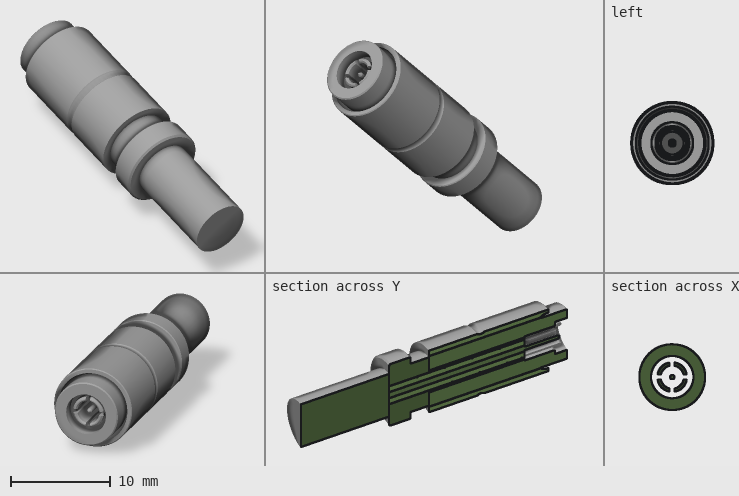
import cadquery as cq

LENGTH = 30.2
FRONT = -LENGTH / 2
BACK = LENGTH / 2

SLEEVE_DIAMETER = 8.25
SLEEVE_FRONT = FRONT + 2.1
SLEEVE_BACK = FRONT + 15.7
SLEEVE_CHAMFER = 0.1
SLEEVE_MOUTH_DIAMETER = 7.3
SLEEVE_MOUTH_WALL_LENGTH = 0.25
SLEEVE_MOUTH_COVE_LENGTH = 0.65
GRIP_GROOVE_CENTRE = FRONT + 9.78
GRIP_GROOVE_WIDTH = 0.82
GRIP_GROOVE_DEPTH = 0.15

NOSE_DIAMETER = 6.65
NOSE_CHAMFER = 0.12
NOSE_BORE_DIAMETER = 4.2
NOSE_FLOOR = FRONT + 1.35
FINGER_CLEARANCE_DIAMETER = 3.15
CLEARANCE_MOUTH_DIAMETER = 3.4
CLEARANCE_MOUTH_DEPTH = 0.15

COLLAR_DIAMETER = SLEEVE_DIAMETER
COLLAR_FRONT = FRONT + 17.75
COLLAR_BACK = FRONT + 20.2
COLLAR_FRONT_CHAMFER = 0.1
COLLAR_BACK_CHAMFER = 0.18
NECK_DIAMETER = 6.5
FINGER_DIAMETER = 2.8
FINGER_BORE_DIAMETER = 2.3
FINGER_TIP = FRONT + 0.5
SLOT_END = FRONT + 4.83
LIP_DIAMETER = 3.2
LIP_LENGTH = 0.72
LIP_FRONT_DIAMETER = 2.8
LIP_BACK_SLOPE = 0.3
FINGER_MOUTH_DIAMETER = 2.6
FINGER_MOUTH_DEPTH = 0.18
SLOT_WIDTH = 0.45
SLOT_COUNT = 4

DIELECTRIC_FRONT = SLOT_END
PIN_DIAMETER = 0.7
PIN_CONTACT_DIAMETER = 0.5
PIN_TIP = FRONT + 0.85
PIN_TIP_DIAMETER = 0.15
PIN_TIP_LENGTH = 0.27
FERRULE_DIAMETER = 5.75


def cylinder(diameter, start, end):
    """Solid cylinder on the X axis from one X position to another."""
    return cq.Workplane("YZ", origin=(start, 0, 0)).circle(diameter / 2).extrude(end - start)


def cone(start_diameter, end_diameter, start, end):
    """Solid truncated cone on the X axis from one X position to another."""
    profile = [(start, 0), (start, start_diameter / 2), (end, end_diameter / 2), (end, 0)]
    return cq.Workplane("XY").polyline(profile).close().revolve(360, (0, 0, 0), (1, 0, 0))


def make_sleeve_mouth():
    """Recess in the sleeve front: a straight wall, then an arc that starts along the wall."""
    mouth_radius = SLEEVE_MOUTH_DIAMETER / 2
    bore_radius = NOSE_DIAMETER / 2
    cove_start = SLEEVE_FRONT + SLEEVE_MOUTH_WALL_LENGTH
    cove_end = cove_start + SLEEVE_MOUTH_COVE_LENGTH
    return (
        cq.Workplane("XY")
        .moveTo(SLEEVE_FRONT, bore_radius)
        .lineTo(SLEEVE_FRONT, mouth_radius)
        .lineTo(cove_start, mouth_radius)
        .tangentArcPoint((cove_end, bore_radius), relative=False)
        .close()
        .revolve(360, (0, 0, 0), (1, 0, 0))
    )


def make_sleeve():
    sleeve = cylinder(SLEEVE_DIAMETER, SLEEVE_FRONT, SLEEVE_BACK)
    sleeve = sleeve.faces("<X").edges().chamfer(SLEEVE_CHAMFER)
    sleeve = sleeve.cut(cylinder(NOSE_DIAMETER, SLEEVE_FRONT, SLEEVE_BACK))
    sleeve_radius = SLEEVE_DIAMETER / 2
    grip_groove = (
        cq.Workplane("XY")
        .moveTo(GRIP_GROOVE_CENTRE - GRIP_GROOVE_WIDTH / 2, sleeve_radius)
        .threePointArc(
            (GRIP_GROOVE_CENTRE, sleeve_radius - GRIP_GROOVE_DEPTH),
            (GRIP_GROOVE_CENTRE + GRIP_GROOVE_WIDTH / 2, sleeve_radius),
        )
        .close()
        .revolve(360, (0, 0, 0), (1, 0, 0))
    )
    return sleeve.cut(make_sleeve_mouth()).cut(grip_groove)


def make_nose_shell():
    shell = cylinder(NOSE_DIAMETER, FRONT, SLEEVE_BACK).faces("<X").edges().chamfer(NOSE_CHAMFER)
    bore = cylinder(NOSE_BORE_DIAMETER, FRONT, NOSE_FLOOR)
    clearance_mouth = cone(
        CLEARANCE_MOUTH_DIAMETER,
        FINGER_CLEARANCE_DIAMETER,
        NOSE_FLOOR,
        NOSE_FLOOR + CLEARANCE_MOUTH_DEPTH,
    )
    clearance = cylinder(FINGER_CLEARANCE_DIAMETER, NOSE_FLOOR, SLOT_END)
    contact_hole = cylinder(FINGER_DIAMETER, SLOT_END, SLEEVE_BACK)
    return shell.cut(bore).cut(clearance_mouth).cut(clearance).cut(contact_hole)


def make_fingers():
    """Slotted tube with a snap lip around its tip."""
    lip_crest_start = FINGER_TIP + (LIP_DIAMETER - LIP_FRONT_DIAMETER) / 2
    lip_end = FINGER_TIP + LIP_LENGTH
    lip_crest_end = lip_end - LIP_BACK_SLOPE
    fingers = cylinder(FINGER_DIAMETER, FINGER_TIP, SLEEVE_BACK)
    fingers = fingers.union(cone(LIP_FRONT_DIAMETER, LIP_DIAMETER, FINGER_TIP, lip_crest_start))
    fingers = fingers.union(cylinder(LIP_DIAMETER, lip_crest_start, lip_crest_end))
    fingers = fingers.union(cone(LIP_DIAMETER, FINGER_DIAMETER, lip_crest_end, lip_end))
    mouth = cone(
        FINGER_MOUTH_DIAMETER, FINGER_BORE_DIAMETER, FINGER_TIP, FINGER_TIP + FINGER_MOUTH_DEPTH
    )
    fingers = fingers.cut(mouth)
    for index in range(SLOT_COUNT):
        slot = (
            cq.Workplane("XY")
            .box(SLOT_END - FINGER_TIP, SLOT_WIDTH, LIP_DIAMETER, centered=(False, True, False))
            .translate((FINGER_TIP, 0, 0))
            .rotate((0, 0, 0), (1, 0, 0), index * 360 / SLOT_COUNT)
        )
        fingers = fingers.cut(slot)
    return fingers


def make_outer_contact():
    neck = cylinder(NECK_DIAMETER, SLEEVE_BACK, COLLAR_FRONT)
    collar = cylinder(COLLAR_DIAMETER, COLLAR_FRONT, COLLAR_BACK)
    collar = collar.faces("<X").edges().chamfer(COLLAR_FRONT_CHAMFER)
    collar = collar.faces(">X").edges().chamfer(COLLAR_BACK_CHAMFER)
    contact = make_fingers().union(neck).union(collar)
    return contact.cut(cylinder(FINGER_BORE_DIAMETER, FINGER_TIP, COLLAR_BACK))


def make_pin():
    tip_base = PIN_TIP + PIN_TIP_LENGTH
    tip = cone(PIN_TIP_DIAMETER, PIN_CONTACT_DIAMETER, PIN_TIP, tip_base)
    contact_length = cylinder(PIN_CONTACT_DIAMETER, tip_base, DIELECTRIC_FRONT)
    shank = cylinder(PIN_DIAMETER, DIELECTRIC_FRONT, COLLAR_BACK)
    return tip.union(contact_length).union(shank)


def make_dielectric():
    dielectric = cylinder(FINGER_BORE_DIAMETER, DIELECTRIC_FRONT, COLLAR_BACK)
    return dielectric.cut(cylinder(PIN_DIAMETER, DIELECTRIC_FRONT, COLLAR_BACK))


def make_ferrule():
    return cylinder(FERRULE_DIAMETER, COLLAR_BACK, BACK)


sleeve = make_sleeve()
nose_shell = make_nose_shell()
outer_contact = make_outer_contact()
dielectric = make_dielectric()
centre_pin = make_pin()
ferrule = make_ferrule()

result = cq.Compound.makeCompound(
    [
        sleeve.val(),
        nose_shell.val(),
        outer_contact.val(),
        dielectric.val(),
        centre_pin.val(),
        ferrule.val(),
    ]
)